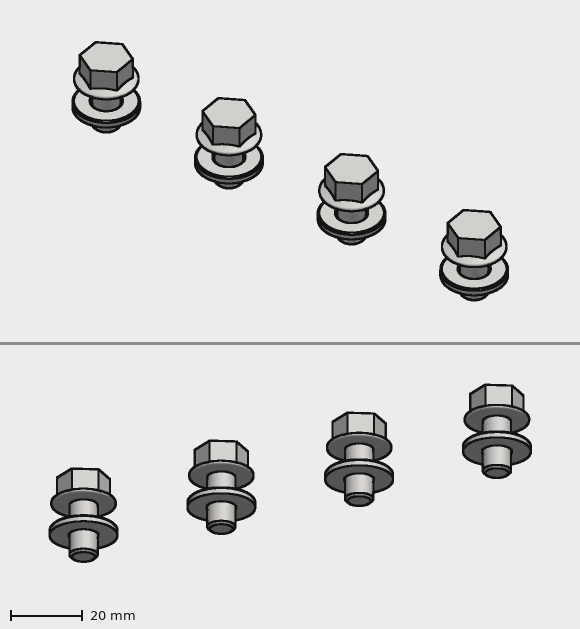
import cadquery as cq
import math

row_length = 147.0
bolt_count = 4

shank_diameter = 8.0
shank_length = 15.9
tip_chamfer = 0.7
bolt_height = 24.1
hex_across_flats = 13.0
flange_diameter = 18.1
flange_rim_radius = 0.6
flange_cone_angle = math.radians(25)

washer_diameter = 19.0
washer_hole_diameter = 8.4
washer_thickness = 2.0
washer_bottom = 6.6
washer_chamfer = 0.5

bolt_spacing = (row_length - washer_diameter) / (bolt_count - 1)
hex_across_corners = hex_across_flats / math.cos(math.pi / 6)
head_height = bolt_height - shank_length


def make_shank():
    """Plain round shank with a chamfered tip."""
    shank = cq.Workplane("XY").circle(shank_diameter / 2).extrude(shank_length)
    return shank.faces("<Z").chamfer(tip_chamfer)


def make_flange():
    """Flange with a rounded rim that runs smoothly into a conical top."""
    rim_center_x = flange_diameter / 2 - flange_rim_radius
    rim_center_z = shank_length + flange_rim_radius
    cone_start_x = rim_center_x + flange_rim_radius * math.sin(flange_cone_angle)
    cone_start_z = rim_center_z + flange_rim_radius * math.cos(flange_cone_angle)
    cone_end_x = hex_across_flats / 2
    cone_end_z = cone_start_z + (cone_start_x - cone_end_x) * math.tan(flange_cone_angle)
    return (
        cq.Workplane("XZ")
        .moveTo(0, shank_length)
        .lineTo(rim_center_x, shank_length)
        .threePointArc((flange_diameter / 2, rim_center_z), (cone_start_x, cone_start_z))
        .lineTo(cone_end_x, cone_end_z)
        .lineTo(0, cone_end_z)
        .close()
        .revolve(360, (0, 0, 0), (0, 1, 0))
    )


def make_hex_head():
    """Hexagonal prism with two of its corners on the Y axis."""
    return (
        cq.Workplane("XY", origin=(0, 0, shank_length))
        .transformed(rotate=(0, 0, 90))
        .polygon(6, hex_across_corners)
        .extrude(head_height)
    )


def make_bolt(x):
    """Flanged hex bolt standing at the given x."""
    bolt = make_shank().union(make_flange()).union(make_hex_head())
    return bolt.translate((x, 0, 0))


def make_washer(x):
    """Flat washer around the bolt shank, with both upper edges chamfered."""
    washer = (
        cq.Workplane("XY")
        .circle(washer_diameter / 2)
        .circle(washer_hole_diameter / 2)
        .extrude(washer_thickness)
        .faces(">Z")
        .chamfer(washer_chamfer)
    )
    return washer.translate((x, 0, washer_bottom))


bodies = []
for index in range(bolt_count):
    bolt_x = (index - (bolt_count - 1) / 2) * bolt_spacing
    bodies.append(make_bolt(bolt_x).val())
    bodies.append(make_washer(bolt_x).val())

result = cq.Compound.makeCompound(bodies)